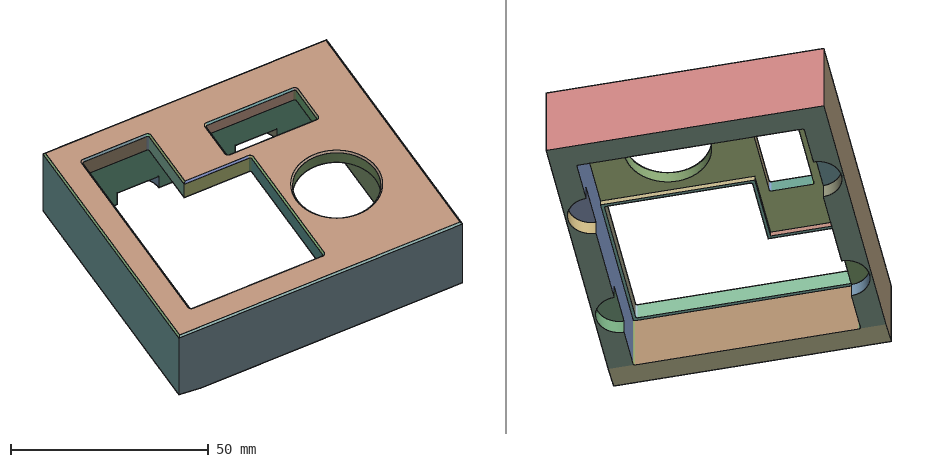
import cadquery as cq

width = 71.8
depth = 81.7
height = 22.5
edge_chamfer = 0.5

wall = 6.5
plate = 4.1
cavity_radius = 0.5

slope_rise = 0.8

round_diameter = 22.3
round_x = 45.0
round_y = 60.0
slot_left = 11.3
slot_right = 22.8
slot_front = 40.7
slot_back = 66.55
window_left = 7.35
window_front = 7.35
window_right = width - window_left
window_back = 45.6
step_x = 26.2
step_y = 26.4
corner_radius = 0.5

lip_width = window_left - wall
lip_bottom = height - 5.55

recess_height = 4.25
recess_radius = 6.0
tab_length = 22.05


def block(left, front, bottom, right, back, top):
    """Box between two opposite corners."""
    size = (right - left, back - front, top - bottom)
    return cq.Workplane("XY").box(*size, centered=False).translate((left, front, bottom))


def window_lip():
    """Stepped block that leaves the lip once the window is cut through it."""
    left = window_left - lip_width
    front = window_front - lip_width
    right = window_right + lip_width
    back = window_back + lip_width
    front_part = block(left, front, lip_bottom, right, step_y + lip_width, height)
    right_part = block(step_x - lip_width, front, lip_bottom, right, back, height)
    return front_part.union(right_part)


def hollow_box():
    """Box open at the bottom, with a flat plate on top."""
    cavity = block(wall, wall, 0, width - wall, depth - wall, height - plate)
    return block(0, 0, 0, width, depth, height).cut(cavity.edges("|Z").fillet(cavity_radius))


def rounded_block(left, front, right, back):
    """Full-height block with rounded upright edges."""
    return block(left, front, 0, right, back, height).edges("|Z").fillet(corner_radius)


def slot():
    return rounded_block(slot_left, slot_front, slot_right, slot_back)


def window():
    """Stepped window with rounded inner corners and a sharp corner at the step."""
    front_part = rounded_block(window_left, window_front, window_right, step_y)
    right_part = rounded_block(step_x, window_front, window_right, window_back)
    return front_part.union(right_part)


def round_hole():
    return cq.Workplane("XY").center(round_x, round_y).circle(round_diameter / 2).extrude(height)


def front_slope():
    """Wedge that lifts the underside of the front wall toward the front face."""
    return cq.Workplane("YZ").polyline([(0, 0), (wall, 0), (0, slope_rise)]).close().extrude(width)


def side_recesses():
    """Four round recesses centred on the inner faces of the left and right walls."""
    spacing_x = width - 2 * wall
    spacing_y = tab_length + 2 * recess_radius
    return (
        cq.Workplane("XY")
        .center(width / 2, depth / 2)
        .rarray(spacing_x, spacing_y, 2, 2)
        .circle(recess_radius)
        .extrude(recess_height)
    )


plain_body = hollow_box().union(window_lip())
opened_body = plain_body.cut(slot()).cut(window()).cut(round_hole())
chamfered_body = opened_body.faces(">Z").edges().chamfer(edge_chamfer)
result = chamfered_body.cut(front_slope()).cut(side_recesses())